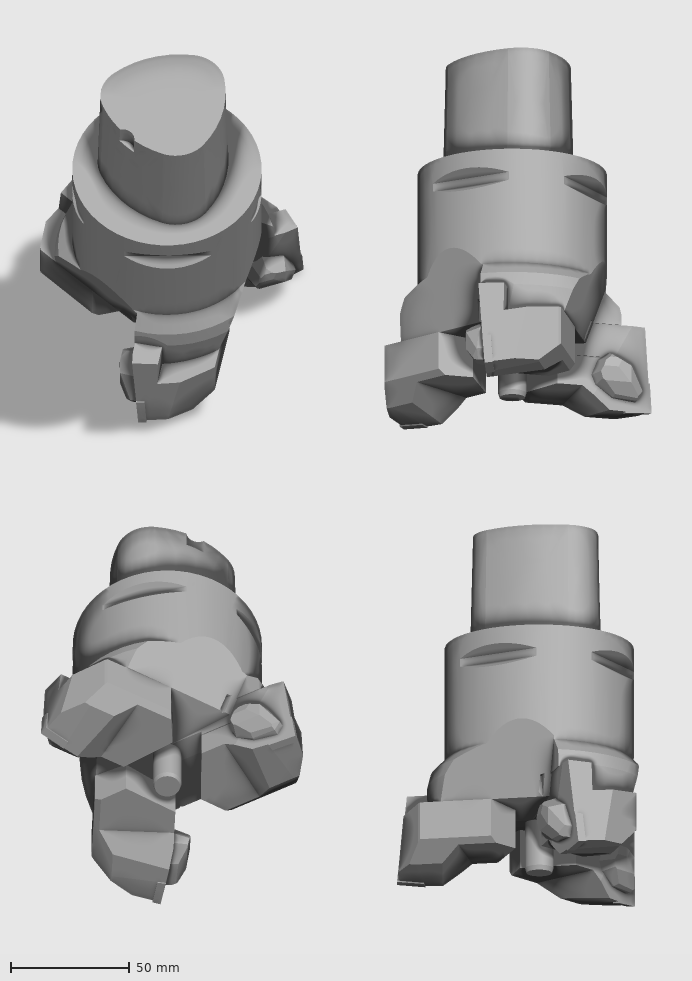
import cadquery as cq
import math


SHANK_LENGTH = 48.0
SHANK_TAPER_ANGLE = math.degrees(math.atan(1 / 40))
LOBE_ANGLES = (90, 210, 330)
LOBE_HALF_PITCH = 60
LOBE_RADIUS = 16.2
LOBE_REACH = 29.7
SIDE_REACH = 25.4
NOTCH_RADIUS = 5.2
NOTCH_OFFSET = 27.1
NOTCH_DEPTH = 8.1

FLANGE_RADIUS = 80.0 / 2
FLANGE_BOTTOM = -50.0
SKIRT_FLARE = 6.0
SKIRT_RADIUS = FLANGE_RADIUS + SKIRT_FLARE
SKIRT_TOP = FLANGE_BOTTOM - SKIRT_FLARE
RIM_RADIUS = 47.5
RIM_Z = -61.8
CORE_BOTTOM = -76.1
CORE_BOTTOM_RADIUS = 46.9
NOSE_RADIUS = 12.01 / 2
NOSE_BOTTOM = -97.9
NOSE_CHAMFER_HEIGHT = 2.0
NOSE_CHAMFER = 0.6

GROOVE_ANGLES = (45, 135, 225, 315)
GROOVE_FLOOR = 35.5
GROOVE_MID_Z = -11.9
GROOVE_FLOOR_HEIGHT = 3.4
GROOVE_MOUTH_HEIGHT = 9.6

ARM_ANGLES = (180, 63.5, 303)
RAKE_V = -4.3
UPPER_RAKE_V = -4.7
ARM_BACK_V = 29.9
ARM_INNER_U = 15.0
ARM_TIP_U = 7.0
ARM_TIP_V = 17.1
ARM_RAKE_START_U = 18.6
ARM_CORNER_U = 46.6
ARM_CORNER_CHAMFER = 1.0
ARM_REACH_U = 64.0
ARM_HEEL_V = 4.3
ARM_TOP_BACK_Z = -72.7
ARM_TOP_SLOPE = 0.147
ARM_UNDERSIDE_Z = -91.3
ARM_UNDERSIDE_END_U = 29.6
ARM_RAMP_END_U = 41.5
BACK_CHAMFER_Z = -88.8
TAB_TOP_Z = -63.6
RAKE_GROOVE_Z = -78.8
RAKE_GROOVE_WIDTH = 0.6
RAKE_GROOVE_DEPTH = 0.4
RAKE_GROOVE_END_U = 42.0
TAB_INNER_U = 46.5
TAB_BACK_V = 7.3

FLANK_U = 57.4
FLANK_V_SLOPE = 0.16
FLANK_Z_SLOPE = 0.105
BOTTOM_Z = -100.4
BOTTOM_RISE = 0.08
BOTTOM_SLOPE = 0.14

CREASE_U = 51.5
CREASE_FALL_U = 6.7
CREASE_FALL_Z = 12.4
OUTER_RAKE_SLOPE = 0.165

POCKET_ANGLES = (153, 33, 271)
POCKET_EDGE_R = 29.6
POCKET_EDGE_Z = ARM_TOP_BACK_Z
POCKET_PEAK_Z = -40.9
POCKET_ROOF_SLOPE = 0.14

INSERT_INNER_U = 49.2
INSERT_TOP_Z = -87.3
INSERT_THICKNESS = 3.6
INSERT_OVERHANG = 0.6

CLAMP_OUTLINE = [
    (33.5, -86.4), (36.2, -79.8), (41.0, -76.2), (51.0, -81.4),
    (56.0, -92.0), (53.5, -96.3), (43.0, -95.6), (35.3, -90.7),
]
CLAMP_TOP_V = -11.6
CLAMP_TAPER = 18
CLAMP_CROWN_U = [(43.5, CLAMP_TOP_V), (49.5, -10.2), (56.0, -4.5)]
CLAMP_CROWN_Z = [(-98.5, -4.0), (-90.1, -10.3), (-84.0, CLAMP_TOP_V), (-79.8, -11.1), (-74.0, -5.0)]

BIG = 300.0


def half_space(point, normal):
    """Large block that fills the side of a plane the normal points to."""
    plane = cq.Plane(origin=point, normal=normal)
    return cq.Workplane(plane).rect(BIG, BIG).extrude(BIG)


def turn(body, angle):
    return body.rotate((0, 0, 0), (0, 0, 1), angle)


def polar(radius, degrees):
    angle = math.radians(degrees)
    return (radius * math.cos(angle), radius * math.sin(angle))


def make_shank():
    """Tapered shank: three lobe arcs joined tangentially by three flatter side arcs."""
    lobe_offset = LOBE_REACH - LOBE_RADIUS
    excess = LOBE_REACH - SIDE_REACH
    side_offset = excess * (2 * lobe_offset - excess) / (lobe_offset - 2 * excess)
    side_radius = SIDE_REACH + side_offset
    joint_spread = math.degrees(math.asin(
        side_offset * math.sin(math.radians(LOBE_HALF_PITCH)) / (side_radius - LOBE_RADIUS)
    ))

    def joint(lobe_angle, side):
        centre = polar(lobe_offset, lobe_angle)
        arm = polar(LOBE_RADIUS, lobe_angle + side * joint_spread)
        return (centre[0] + arm[0], centre[1] + arm[1])

    outline = cq.Workplane("XY").moveTo(*joint(LOBE_ANGLES[0], -1))
    for angle in LOBE_ANGLES:
        outline = outline.threePointArc(polar(LOBE_REACH, angle), joint(angle, 1))
        side_middle = polar(SIDE_REACH, angle + LOBE_HALF_PITCH)
        outline = outline.threePointArc(side_middle, joint(angle + 2 * LOBE_HALF_PITCH, -1))
    shank = outline.close().extrude(SHANK_LENGTH, taper=SHANK_TAPER_ANGLE)
    notch = (
        cq.Workplane("XY", origin=(0, -NOTCH_OFFSET, SHANK_LENGTH - NOTCH_DEPTH))
        .circle(NOTCH_RADIUS).extrude(BIG)
    )
    return shank.cut(notch)


def make_core():
    """Flange and flared skirt, turned about Z."""
    profile = [
        (0, 0),
        (FLANGE_RADIUS, 0),
        (FLANGE_RADIUS, FLANGE_BOTTOM),
        (SKIRT_RADIUS, SKIRT_TOP),
        (RIM_RADIUS, RIM_Z),
        (CORE_BOTTOM_RADIUS, CORE_BOTTOM),
        (0, CORE_BOTTOM),
    ]
    return cq.Workplane("XZ").polyline(profile).close().revolve(360, (0, 0), (0, 1))


def make_nose():
    """Central pin below the core, narrowed at its lower end."""
    profile = [
        (0, FLANGE_BOTTOM),
        (NOSE_RADIUS, FLANGE_BOTTOM),
        (NOSE_RADIUS, NOSE_BOTTOM + NOSE_CHAMFER_HEIGHT),
        (NOSE_RADIUS - NOSE_CHAMFER, NOSE_BOTTOM),
        (0, NOSE_BOTTOM),
    ]
    return cq.Workplane("XZ").polyline(profile).close().revolve(360, (0, 0), (0, 1))


def make_groove():
    """Straight groove with sloping sides, on the +X side of the flange."""
    mouth = FLANGE_RADIUS
    profile = [
        (GROOVE_FLOOR, GROOVE_MID_Z - GROOVE_FLOOR_HEIGHT / 2),
        (GROOVE_FLOOR, GROOVE_MID_Z + GROOVE_FLOOR_HEIGHT / 2),
        (mouth, GROOVE_MID_Z + GROOVE_MOUTH_HEIGHT / 2),
        (mouth, GROOVE_MID_Z - GROOVE_MOUTH_HEIGHT / 2),
    ]
    return cq.Workplane("XZ").polyline(profile).close().extrude(FLANGE_RADIUS, both=True)


def outer_rake(depth):
    """Space in front of a plane at a depth behind the inclined outer part of the rake."""
    crease = math.hypot(CREASE_FALL_U, CREASE_FALL_Z)
    rake_u = OUTER_RAKE_SLOPE * CREASE_FALL_Z / crease
    rake_z = -OUTER_RAKE_SLOPE * CREASE_FALL_U / crease
    return half_space((CREASE_U, RAKE_V + depth, TAB_TOP_Z), (rake_u, -1, rake_z))


def make_pocket(arm_angle, pocket_angle):
    """Space in front of an arm: an inclined wall above a sloping roof, ended by the rake."""
    wall_slope = (FLANGE_RADIUS - POCKET_EDGE_R) / (POCKET_PEAK_Z - POCKET_EDGE_Z)
    outer_r = 2 * FLANGE_RADIUS
    outer_z = POCKET_EDGE_Z + (outer_r - POCKET_EDGE_R) / wall_slope
    roof_end_z = POCKET_EDGE_Z - POCKET_EDGE_R * POCKET_ROOF_SLOPE
    profile = [
        (0, roof_end_z),
        (POCKET_EDGE_R, POCKET_EDGE_Z),
        (outer_r, outer_z),
        (outer_r, NOSE_BOTTOM),
        (0, NOSE_BOTTOM),
    ]
    space = cq.Workplane("XZ").polyline(profile).close().extrude(BIG, both=True)
    behind_rake = half_space((0, RAKE_V, 0), (0, 1, 0))
    upper_rake = half_space((0, UPPER_RAKE_V, 0), (0, 1, 0))
    above_tab = half_space((0, 0, TAB_TOP_Z), (0, 0, 1))
    space = turn(space, pocket_angle).cut(turn(behind_rake, arm_angle))
    return space.cut(turn(upper_rake.intersect(above_tab), arm_angle))


def make_rake_relief():
    """Continues the outer rake into the skirt, between the tab top and the core bottom."""
    size = (FLANK_U - POCKET_EDGE_R, -2 * RAKE_V, TAB_TOP_Z - CORE_BOTTOM)
    corner = (POCKET_EDGE_R, 2 * RAKE_V, CORE_BOTTOM)
    slab = cq.Workplane("XY").box(*size, centered=False).translate(corner)
    return slab.intersect(outer_rake(0))


def trim_flanks(body, overhang):
    """Cut the outer rake, the outer flank and the bottom; overhang leaves the flanks proud."""
    flank = half_space((FLANK_U + overhang, RAKE_V, TAB_TOP_Z), (1, FLANK_V_SLOPE, FLANK_Z_SLOPE))
    bottom_z = BOTTOM_Z - overhang
    bottom = half_space((0, 0, bottom_z), (0, BOTTOM_SLOPE, -1))
    outer_bottom = half_space((INSERT_INNER_U, 0, bottom_z), (BOTTOM_RISE, BOTTOM_SLOPE, -1))
    return body.cut(outer_rake(0)).cut(flank).cut(bottom).cut(outer_bottom)


def make_arm():
    """Arm pointing along +X, with an upright tab at its outer end."""
    plan = [
        (ARM_RAKE_START_U, RAKE_V),
        (ARM_TIP_U, ARM_TIP_V),
        (ARM_INNER_U, ARM_BACK_V),
        (ARM_CORNER_U - ARM_CORNER_CHAMFER, ARM_BACK_V),
        (ARM_CORNER_U, ARM_BACK_V - ARM_CORNER_CHAMFER),
        (ARM_REACH_U, ARM_HEEL_V),
        (ARM_REACH_U, RAKE_V),
    ]
    ramp_drop = ARM_UNDERSIDE_Z - BOTTOM_Z
    low_z = BOTTOM_Z - ramp_drop
    ramp_u = ARM_RAMP_END_U - ARM_UNDERSIDE_END_U
    side = [
        (0, TAB_TOP_Z),
        (0, ARM_UNDERSIDE_Z),
        (ARM_UNDERSIDE_END_U, ARM_UNDERSIDE_Z),
        (ARM_RAMP_END_U + ramp_u, low_z),
        (ARM_REACH_U, low_z),
        (ARM_REACH_U, TAB_TOP_Z),
    ]
    upright = cq.Workplane("XY", origin=(0, 0, low_z)).polyline(plan).close().extrude(-low_z)
    block = upright.intersect(
        cq.Workplane("XZ").polyline(side).close().extrude(BIG, both=True)
    )
    above = half_space((0, ARM_BACK_V, ARM_TOP_BACK_Z), (0, -ARM_TOP_SLOPE, 1))
    tab_space = cq.Workplane("XY").box(
        BIG, TAB_BACK_V - RAKE_V, BIG, centered=False
    ).translate((TAB_INNER_U, RAKE_V, -BIG))
    above_core_bottom = half_space((0, 0, CORE_BOTTOM), (0, 0, 1))
    arm = block.cut(above.intersect(above_core_bottom).cut(tab_space))
    back_chamfer = half_space((0, ARM_BACK_V, BACK_CHAMFER_Z), (0, 1, -1))
    groove = cq.Workplane("XY").box(
        RAKE_GROOVE_END_U, RAKE_GROOVE_DEPTH, RAKE_GROOVE_WIDTH, centered=False
    ).translate((0, RAKE_V, RAKE_GROOVE_Z))
    return trim_flanks(arm.cut(back_chamfer).cut(groove), 0)


def make_insert():
    """Cutting insert in the lower outer corner of the rake, flush with the rake face."""
    block = cq.Workplane("XY").box(
        ARM_REACH_U, BIG, INSERT_TOP_Z - 2 * BOTTOM_Z, centered=False
    ).translate((INSERT_INNER_U, RAKE_V, 2 * BOTTOM_Z))
    slab = block.intersect(outer_rake(INSERT_THICKNESS))
    return trim_flanks(slab, INSERT_OVERHANG)


def make_clamp(arm, insert):
    """Faceted mound resting on the rake and on the insert."""
    mound = (
        cq.Workplane("XZ", origin=(0, RAKE_V, 0)).polyline(CLAMP_OUTLINE).close()
        .extrude(RAKE_V - CLAMP_TOP_V, taper=CLAMP_TAPER)
    )
    foot = cq.Workplane("XZ").polyline(CLAMP_OUTLINE).close().extrude(-RAKE_V)
    crown_along = (
        cq.Workplane("XY").moveTo(0, 0).lineTo(0, CLAMP_TOP_V).polyline(CLAMP_CROWN_U, includeCurrent=True)
        .lineTo(CLAMP_CROWN_U[-1][0], 0).close().extrude(BIG, both=True)
    )
    crown_up = (
        cq.Workplane(cq.Plane(origin=(0, 0, 0), xDir=(0, 0, 1), normal=(-1, 0, 0)))
        .moveTo(CLAMP_CROWN_Z[0][0], 0).polyline(CLAMP_CROWN_Z, includeCurrent=True)
        .lineTo(CLAMP_CROWN_Z[-1][0], 0).close().extrude(BIG, both=True)
    )
    return mound.union(foot).intersect(crown_along).intersect(crown_up).cut(arm).cut(insert)


arm = make_arm()
insert = make_insert()
clamp = make_clamp(arm, insert)
arm = arm.cut(insert)

housing = make_core()
for angle in GROOVE_ANGLES:
    housing = housing.cut(turn(make_groove(), angle))
tab_relief = half_space((TAB_INNER_U, 0, 0), (1, 0, 0))
for arm_angle, pocket_angle in zip(ARM_ANGLES, POCKET_ANGLES):
    housing = housing.cut(make_pocket(arm_angle, pocket_angle)).cut(turn(tab_relief, arm_angle))
for angle in ARM_ANGLES:
    housing = housing.cut(turn(make_rake_relief(), angle))
for angle in ARM_ANGLES:
    housing = housing.union(turn(arm, angle))
housing = housing.union(make_nose()).union(make_shank())

inserts = [turn(insert, angle) for angle in ARM_ANGLES]
clamps = [turn(clamp, angle) for angle in ARM_ANGLES]

result = cq.Compound.makeCompound([
    housing.val(),
    *[insert_copy.val() for insert_copy in inserts],
    *[clamp_copy.val() for clamp_copy in clamps],
])